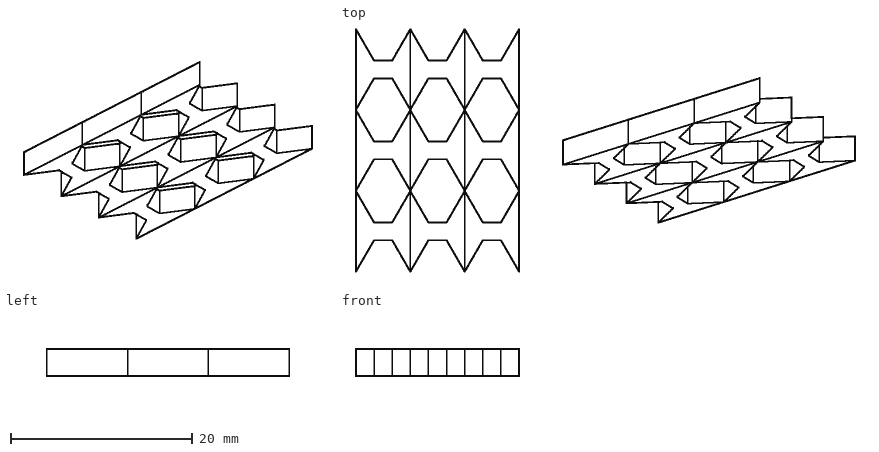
import cadquery as cq
import math

total_length = 26.78
columns = 3
rows = 3
flank_angle = 60.0
thickness = 3.0

cell_length = total_length / rows
flank_slope = math.tan(math.radians(flank_angle))
module = cell_length / (1 + 2 * flank_slope)
cell_width = 3 * module


def make_cell(center_x, center_y):
    """Plate with straight sides and a trapezoidal notch in each Y end."""
    half_width = cell_width / 2
    half_length = cell_length / 2
    half_module = module / 2
    outline = [
        (-half_width, -half_length),
        (-half_module, -half_module),
        (half_module, -half_module),
        (half_width, -half_length),
        (half_width, half_length),
        (half_module, half_module),
        (-half_module, half_module),
        (-half_width, half_length),
    ]
    plate = cq.Workplane("XY").polyline(outline).close().extrude(thickness)
    return plate.translate((center_x, center_y, 0)).val()


cells = []
for column in range(columns):
    for row in range(rows):
        center_x = (column - (columns - 1) / 2) * cell_width
        center_y = (row - (rows - 1) / 2) * cell_length
        cells.append(make_cell(center_x, center_y))

result = cq.Compound.makeCompound(cells)